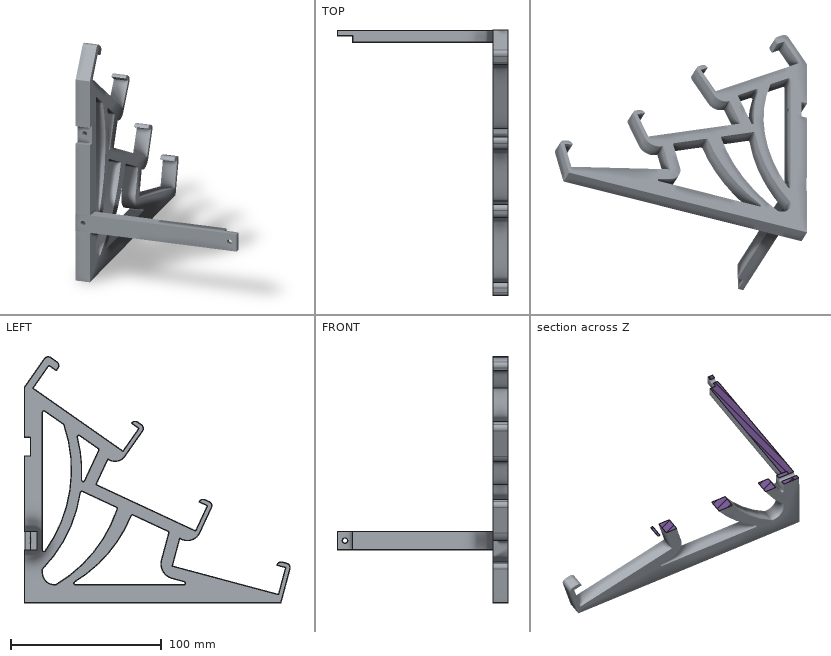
import cadquery as cq
import math


PLATE_THICKNESS = 10.0
FRAME_WIDTH = 12.0
RIB_WIDTH = 8.0
TRAY_LENGTH = 72.75
TRAY_SLOPES = (35.0, 25.0, 15.0)
TRAY_STARTS = ((5.7, 142.15), (47.5, 78.35), (98.02, 24.35))

HOOK_HEIGHT = 18.4
HOOK_THICKNESS = 3.0
TOP_HOOK_THICKNESS = 5.0
LIP_LENGTH = 6.0
HOOK_RADIUS = 3.0
HEEL_RADII = (8.0, 9.0)
HEEL_DROPS = (2.0, 0.0)

WINDOW_RADIUS = 1.0
HEEL_WINDOW_RADIUS = 8.0
BEND_RADIUS = 10.0
ARC_RADIUS = 92.0
INNER_RIB_CENTRES = ((-60.9, 88.1), (-53.9, 86.5))
OUTER_RIB_CENTRES = ((-25.8, 91.3), (-14.4, 92.5))

BAR_LENGTH = 113.0
BAR_HEIGHT = 12.3
BAR_BACK = 0.3
BAR_FRONT = 8.3
LAP_DEPTH = 4.0
SEAT_HEIGHTS = (41.2, 103.5)
BAR_SEAT = SEAT_HEIGHTS[0]
SCREW_DIAMETER = 3.4


class Tray:
    """Frame of one tray: s runs down the slope from its upper corner, h is square to it."""

    def __init__(self, start, slope):
        self.start = start
        self.cos = math.cos(math.radians(slope))
        self.sin = math.sin(math.radians(slope))

    def at(self, s, h):
        u = self.start[0] + s * self.cos + h * self.sin
        v = self.start[1] - s * self.sin + h * self.cos
        return (u, v)

    def local(self, point):
        du = point[0] - self.start[0]
        dv = point[1] - self.start[1]
        return (du * self.cos - dv * self.sin, du * self.sin + dv * self.cos)

    def arc_point(self, s, h, radius, degrees):
        turn = math.radians(degrees)
        return self.at(s + radius * math.cos(turn), h + radius * math.sin(turn))


TRAYS = [Tray(start, slope) for start, slope in zip(TRAY_STARTS, TRAY_SLOPES)]
TOP, MIDDLE, BOTTOM = TRAYS


def profile_plane():
    """Workplane with u and v as its axes, extruding in -X from the far face of the plate."""
    far_face = cq.Plane(origin=(PLATE_THICKNESS, 0, 0), xDir=(0, -1, 0), normal=(-1, 0, 0))
    return cq.Workplane(far_face)


def add_top_hook(outline):
    """Thick hook rising from the wall above the top tray, its lip reaching out over the tray."""
    back = -TOP_HOOK_THICKNESS
    crown = HOOK_HEIGHT + TOP_HOOK_THICKNESS
    round_s = back + HOOK_RADIUS
    round_h = crown - HOOK_RADIUS
    tip_s = LIP_LENGTH - HOOK_RADIUS
    return (
        outline.lineTo(*TOP.at(back, round_h))
        .threePointArc(TOP.arc_point(round_s, round_h, HOOK_RADIUS, 135), TOP.at(round_s, crown))
        .lineTo(*TOP.at(tip_s, crown))
        .threePointArc(TOP.arc_point(tip_s, round_h, HOOK_RADIUS, 45), TOP.at(LIP_LENGTH, round_h))
        .lineTo(*TOP.at(LIP_LENGTH, HOOK_HEIGHT))
        .lineTo(*TOP.at(0, HOOK_HEIGHT))
    )


def add_tray_and_hook(outline, tray):
    """Tray surface and the hook at its lower end, as far as the back of the hook."""
    crown = HOOK_HEIGHT + HOOK_THICKNESS
    round_s = TRAY_LENGTH + HOOK_THICKNESS - HOOK_RADIUS
    round_h = crown - HOOK_RADIUS
    tip_s = TRAY_LENGTH - LIP_LENGTH
    tip_centre = tip_s + HOOK_RADIUS
    return (
        outline.lineTo(*tray.at(0, 0))
        .lineTo(*tray.at(TRAY_LENGTH, 0))
        .lineTo(*tray.at(TRAY_LENGTH, HOOK_HEIGHT))
        .lineTo(*tray.at(tip_s, HOOK_HEIGHT))
        .threePointArc(tray.arc_point(tip_centre, round_h, HOOK_RADIUS, 135), tray.at(tip_centre, crown))
        .lineTo(*tray.at(round_s, crown))
        .threePointArc(
            tray.arc_point(round_s, round_h, HOOK_RADIUS, 45),
            tray.at(TRAY_LENGTH + HOOK_THICKNESS, round_h),
        )
    )


def add_heel(outline, tray, next_tray, radius, drop):
    """Rounded heel from the back of a hook to the riser, which stands square on the next tray."""
    centre_s = TRAY_LENGTH + HOOK_THICKNESS - radius
    centre = next_tray.local(tray.at(centre_s, -drop))
    riser_height = centre[1] - math.sqrt(radius**2 - centre[0] ** 2)
    return outline.lineTo(*tray.at(TRAY_LENGTH + HOOK_THICKNESS, -drop)).threePointArc(
        tray.arc_point(centre_s, -drop, radius, -45), next_tray.at(0, riser_height)
    )


def make_blank():
    """Bracket outline without windows, notches or holes."""
    wall_corner = TOP.start[1] + (TOP_HOOK_THICKNESS - TOP.start[0] * TOP.cos) / TOP.sin
    outline = profile_plane().lineTo(0, wall_corner)
    outline = add_top_hook(outline)
    for tray, next_tray, radius, drop in zip(TRAYS, TRAYS[1:], HEEL_RADII, HEEL_DROPS):
        outline = add_tray_and_hook(outline, tray)
        outline = add_heel(outline, tray, next_tray, radius, drop)
    outline = add_tray_and_hook(outline, BOTTOM)
    hook_foot = BOTTOM.at(TRAY_LENGTH + HOOK_THICKNESS, 0)
    toe = hook_foot[0] - hook_foot[1] * BOTTOM.sin / BOTTOM.cos
    return outline.lineTo(toe, 0).close().extrude(PLATE_THICKNESS)


def height_under(tray, u):
    """Height of the tray's underside at distance u from the wall."""
    return tray.start[1] - (RIB_WIDTH + (u - tray.start[0]) * tray.sin) / tray.cos


def under_corner(tray, next_tray):
    """Window corner between a tray's underside and the inner face of the riser below it."""
    start_h = tray.local(next_tray.at(-RIB_WIDTH, 0))[1]
    gain_per_mm = tray.local(next_tray.at(-RIB_WIDTH, 1))[1] - start_h
    return next_tray.at(-RIB_WIDTH, (-RIB_WIDTH - start_h) / gain_per_mm)


def prism(points):
    return profile_plane().polyline(points).close().extrude(PLATE_THICKNESS)


def disc(centre):
    return profile_plane().center(*centre).circle(ARC_RADIUS).extrude(PLATE_THICKNESS)


def edge_near(u, v):
    """Selector for the window corner edge nearest to (u, v)."""
    return cq.selectors.NearestToPointSelector((PLATE_THICKNESS / 2, -u, v))


def wall_window():
    """Tall window beside the wall, bulging out to the inner rib."""
    corner = under_corner(TOP, MIDDLE)
    block = prism([(FRAME_WIDTH, 0), (FRAME_WIDTH, height_under(TOP, FRAME_WIDTH)), corner, (corner[0], 0)])
    return block.intersect(disc(INNER_RIB_CENTRES[0])).edges("|X").fillet(WINDOW_RADIUS)


def riser_window():
    """Small three-sided window under the top tray."""
    corner = under_corner(TOP, MIDDLE)
    riser_foot = MIDDLE.at(-RIB_WIDTH, -RIB_WIDTH)
    block = prism([(FRAME_WIDTH, height_under(TOP, FRAME_WIDTH)), corner, riser_foot])
    return block.cut(disc(INNER_RIB_CENTRES[1])).edges("|X").fillet(WINDOW_RADIUS)


def middle_window():
    """Curved window between the two ribs, rounded into the corner of the frame."""
    heel = (FRAME_WIDTH, FRAME_WIDTH)
    corner = under_corner(MIDDLE, BOTTOM)
    block = prism(
        [
            heel,
            (FRAME_WIDTH, height_under(MIDDLE, FRAME_WIDTH)),
            corner,
            (corner[0], FRAME_WIDTH),
        ]
    )
    block = block.edges(edge_near(*heel)).fillet(HEEL_WINDOW_RADIUS)
    window = block.cut(disc(INNER_RIB_CENTRES[1])).intersect(disc(OUTER_RIB_CENTRES[0]))
    return window.edges("|X and (>Z or <Y)").fillet(WINDOW_RADIUS)


def foot_window():
    """Window above the foot, following the second riser and bending under the third tray."""
    corner = under_corner(MIDDLE, BOTTOM)
    bend = BOTTOM.at(-RIB_WIDTH, -RIB_WIDTH)
    toe_s = (BOTTOM.start[1] - RIB_WIDTH * BOTTOM.cos - FRAME_WIDTH) / BOTTOM.sin
    toe = BOTTOM.at(toe_s, -RIB_WIDTH)
    block = prism(
        [
            (FRAME_WIDTH, FRAME_WIDTH),
            (FRAME_WIDTH, height_under(MIDDLE, FRAME_WIDTH)),
            corner,
            bend,
            toe,
        ]
    )
    window = block.cut(disc(OUTER_RIB_CENTRES[1]))
    sharp_corners = cq.StringSyntaxSelector("|X") - edge_near(*bend)
    window = window.edges(sharp_corners).fillet(WINDOW_RADIUS)
    return window.edges(edge_near(*bend)).fillet(BEND_RADIUS)


def screw_hole(x, z):
    """Cutter for a screw through the wall upright or a bar tongue, along Y."""
    axis = cq.Plane(origin=(x, 0, z), xDir=(1, 0, 0), normal=(0, -1, 0))
    return cq.Workplane(axis).circle(SCREW_DIAMETER / 2).extrude(FRAME_WIDTH)


def block_at(x, u_back, u_front, z_centre, length):
    """Bar-height block starting at x, between two distances from the wall."""
    depth = u_front - u_back
    return (
        cq.Workplane("XY")
        .box(length, depth, BAR_HEIGHT, centered=(False, True, True))
        .translate((x, -u_back - depth / 2, z_centre))
    )


def make_bracket():
    bracket = make_blank()
    for window in (wall_window(), riser_window(), middle_window(), foot_window()):
        bracket = bracket.cut(window)
    for seat in SEAT_HEIGHTS:
        bracket = bracket.cut(block_at(0, 0, LAP_DEPTH, seat, PLATE_THICKNESS))
        bracket = bracket.cut(screw_hole(PLATE_THICKNESS / 2, seat))
    return bracket


def make_bar():
    """Cross bar whose ends are thinned to tongues, one of them lying in the bracket's notch."""
    far_end = PLATE_THICKNESS - BAR_LENGTH
    bar = block_at(far_end, BAR_BACK, BAR_FRONT, BAR_SEAT, BAR_LENGTH)
    for x in (far_end, 0):
        bar = bar.cut(block_at(x, LAP_DEPTH, BAR_FRONT, BAR_SEAT, PLATE_THICKNESS))
        bar = bar.cut(screw_hole(x + PLATE_THICKNESS / 2, BAR_SEAT))
    return bar


bracket = make_bracket()
bar = make_bar()
result = cq.Compound.makeCompound([bracket.val(), bar.val()])